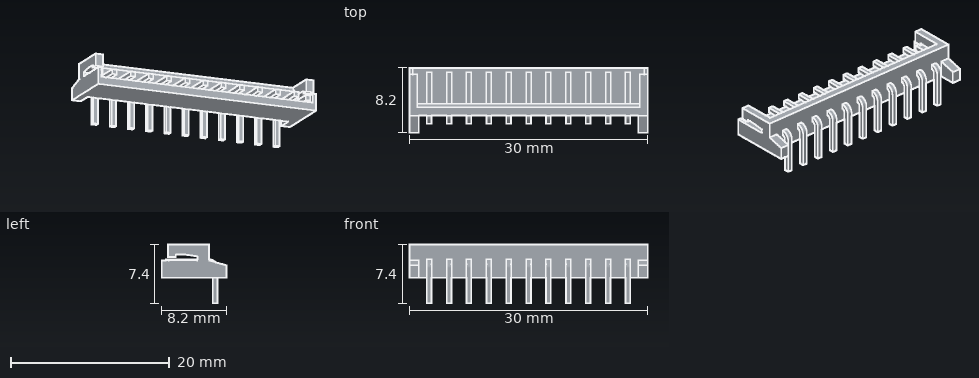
import cadquery as cq


length = 30.0
depth = 8.2
height = 4.2
wall_front = 2.2
wall_inner = 3.7
center_x = length / 2

floor_z = 1.0
rail_width = 0.45
rail_z = 2.2
arm_width = 1.02
arm_end = 7.38

lead_in_depth = 0.45
lead_in_height = 0.63

lip_length = 1.0
lip_z = 2.6
slot_top_z = 2.9
slot_root_z = 2.7
slot_bend = 5.2

ledge_end = 7.3
ledge_bottom_z = 1.5

tab_width = 1.2
tab_tip_z = 1.6

pin_count = 11
pin_pitch = length / (pin_count + 1)
pin_size = 0.63
pin_top_z = 2.35
pin_tip = 7.65
pin_bottom_z = -3.2
pin_front = 1.15
bend_radius = wall_front - pin_front


def block(x_min, x_max, y_min, y_max, z_min, z_max):
    """Box between the given limits."""
    size = (x_max - x_min, y_max - y_min, z_max - z_min)
    return cq.Workplane("XY").box(*size, centered=False).translate((x_min, y_min, z_min))


def side_profile(x_start):
    """Sketch plane facing +X, with Y across and Z up."""
    return cq.Workplane("YZ", origin=(x_start, 0, 0))


def make_body():
    """Wall, base and arms as one block, with the cavity and slots cut out."""
    body = block(0, length, wall_front, depth, 0, height)

    body = body.cut(block(0, length, arm_end, depth, rail_z, height))

    body = body.cut(block(arm_width, length - arm_width, wall_inner, depth, floor_z, height))
    body = body.cut(block(rail_width, length - rail_width, wall_inner, depth, floor_z, rail_z))

    slot = (
        side_profile(0)
        .moveTo(wall_inner, rail_z)
        .lineTo(arm_end, rail_z)
        .lineTo(arm_end, lip_z)
        .lineTo(arm_end - lip_length, lip_z)
        .lineTo(arm_end - lip_length, slot_top_z)
        .lineTo(slot_bend, slot_top_z)
        .lineTo(wall_inner, slot_root_z)
        .close()
        .extrude(length)
    )
    body = body.cut(slot)

    lead_in = (
        side_profile(arm_width)
        .moveTo(wall_inner, height)
        .lineTo(wall_inner - lead_in_depth, height)
        .lineTo(wall_inner, height - lead_in_height)
        .close()
        .extrude(length - 2 * arm_width)
    )
    return body.cut(lead_in)


def make_ledge(x_start):
    """Ledge flush with the top of its rail and as far inwards as the arm above."""
    x_end = x_start + arm_width - rail_width
    return block(x_start, x_end, wall_inner, ledge_end, ledge_bottom_z, rail_z)


def make_tab(x_start):
    """Tab that slopes down from the rail height at the wall to its tip."""
    return (
        side_profile(x_start)
        .moveTo(0, 0)
        .lineTo(wall_front, 0)
        .lineTo(wall_front, rail_z)
        .lineTo(0, tab_tip_z)
        .close()
        .extrude(tab_width)
    )


def make_pin(x_center):
    """Square pin that runs through the wall and bends down in front of it."""
    inner_radius = bend_radius - pin_size
    bend_z = pin_top_z - bend_radius
    return (
        side_profile(x_center - pin_size / 2)
        .moveTo(pin_tip, pin_top_z)
        .lineTo(wall_front, pin_top_z)
        .radiusArc((pin_front, bend_z), -bend_radius)
        .lineTo(pin_front, pin_bottom_z)
        .lineTo(pin_front + pin_size, pin_bottom_z)
        .lineTo(pin_front + pin_size, bend_z)
        .radiusArc((wall_front, pin_top_z - pin_size), inner_radius)
        .lineTo(pin_tip, pin_top_z - pin_size)
        .close()
        .extrude(pin_size)
    )


result = make_body()
for ledge_x in (rail_width, length - arm_width):
    result = result.union(make_ledge(ledge_x))
for tab_x in (0, length - tab_width):
    result = result.union(make_tab(tab_x))
for index in range(pin_count):
    pin_x = center_x + (index - (pin_count - 1) / 2) * pin_pitch
    result = result.union(make_pin(pin_x))